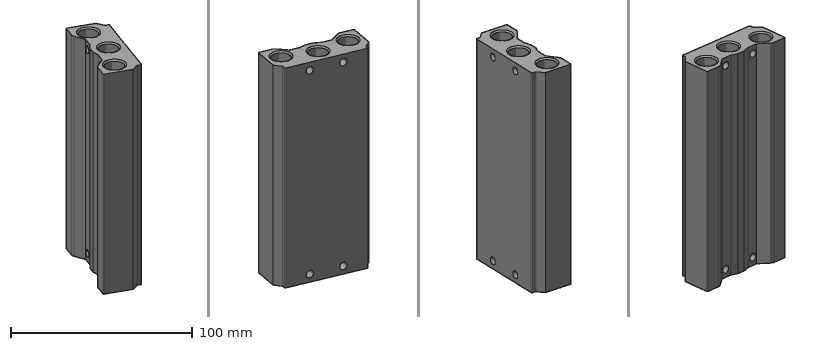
import cadquery as cq
import math

WIDTH = 60.0
DEPTH = 24.0
LENGTH = 136.0
HALF_WIDTH = WIDTH / 2
FRONT = -DEPTH / 2
BACK = DEPTH / 2

BACK_HALF_WIDTH = 26.0
SHOULDER_INNER_Y = BACK - 2.6
SHOULDER_OUTER_Y = BACK - 6.4
SHOULDER_RADIUS = 0.7
BACK_CORNER_RADIUS = 0.5
FRONT_CORNER_RADIUS = 0.4

CHANNEL_DEPTH = 5.5
CHANNEL_FLOOR_HALF_WIDTH = 13.2
CHANNEL_WALL_ANGLE = 38.0
CHANNEL_LIP_RADIUS = 3.4
CHANNEL_FLOOR_Y = FRONT + CHANNEL_DEPTH
CHANNEL_MOUTH_HALF_WIDTH = (
    CHANNEL_FLOOR_HALF_WIDTH + CHANNEL_DEPTH / math.tan(math.radians(CHANNEL_WALL_ANGLE))
)

RIB_HEIGHT = 1.5
RIB_BASE_HALF_WIDTH = 6.7
RIB_TOP_HALF_WIDTH = 2.3
RIB_ROOT_RADIUS = 1.2

BORE_SPACING = 21.0
BORE_DIAMETER = 11.4
BORE_MOUTH_DIAMETER = 13.2
SIDE_BORE_Y = FRONT + 9.9
CENTER_BORE_Y = FRONT + 14.0
MOUNT_DIAMETER = 4.5
MOUNT_X = 10.5
MOUNT_END_DISTANCE = 5.0


def round_edges(body, x, y, radius):
    """Round the mirrored pair of lengthwise edges at (+x, y) and (-x, y)."""
    middle = LENGTH / 2
    for edge_x in (-x, x):
        body = body.edges(cq.NearestToPointSelector((edge_x, y, middle))).fillet(radius)
    return body


def make_body():
    """Extrude the mirrored section and round its lengthwise edges."""
    right_side = [
        (RIB_TOP_HALF_WIDTH, CHANNEL_FLOOR_Y - RIB_HEIGHT),
        (RIB_BASE_HALF_WIDTH, CHANNEL_FLOOR_Y),
        (CHANNEL_FLOOR_HALF_WIDTH, CHANNEL_FLOOR_Y),
        (CHANNEL_MOUTH_HALF_WIDTH, FRONT),
        (HALF_WIDTH, FRONT),
        (HALF_WIDTH, SHOULDER_OUTER_Y),
        (BACK_HALF_WIDTH, SHOULDER_INNER_Y),
        (BACK_HALF_WIDTH, BACK),
    ]
    left_side = [(-x, y) for x, y in reversed(right_side)]
    body = cq.Workplane("XY").polyline(right_side + left_side).close().extrude(LENGTH)

    body = round_edges(body, RIB_BASE_HALF_WIDTH, CHANNEL_FLOOR_Y, RIB_ROOT_RADIUS)
    body = round_edges(body, CHANNEL_MOUTH_HALF_WIDTH, FRONT, CHANNEL_LIP_RADIUS)
    body = round_edges(body, HALF_WIDTH, FRONT, FRONT_CORNER_RADIUS)
    body = round_edges(body, BACK_HALF_WIDTH, SHOULDER_INNER_Y, SHOULDER_RADIUS)
    return round_edges(body, BACK_HALF_WIDTH, BACK, BACK_CORNER_RADIUS)


def make_bore(x, y):
    """Through bore with a 45 degree countersink at both ends."""
    bevel = (BORE_MOUTH_DIAMETER - BORE_DIAMETER) / 2
    bore_radius = BORE_DIAMETER / 2
    mouth_radius = BORE_MOUTH_DIAMETER / 2
    half_profile = [
        (0, 0),
        (mouth_radius, 0),
        (bore_radius, bevel),
        (bore_radius, LENGTH - bevel),
        (mouth_radius, LENGTH),
        (0, LENGTH),
    ]
    bore = cq.Workplane("XZ").polyline(half_profile).close().revolve(360, (0, 0, 0), (0, 1, 0))
    return bore.translate((x, y, 0))


def make_mounting_holes():
    """Four cross holes running from front to back."""
    centers = [
        (x, z)
        for x in (-MOUNT_X, MOUNT_X)
        for z in (MOUNT_END_DISTANCE, LENGTH - MOUNT_END_DISTANCE)
    ]
    return cq.Workplane("XZ").pushPoints(centers).circle(MOUNT_DIAMETER / 2).extrude(DEPTH / 2, both=True)


result = make_body()
for bore_x, bore_y in (
    (-BORE_SPACING, SIDE_BORE_Y),
    (0, CENTER_BORE_Y),
    (BORE_SPACING, SIDE_BORE_Y),
):
    result = result.cut(make_bore(bore_x, bore_y))
result = result.cut(make_mounting_holes())